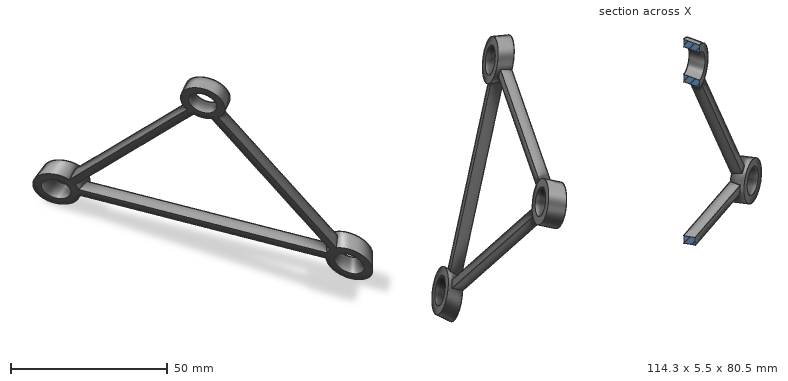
import cadquery as cq
import math

ring_depth = 5.5
bar_depth = 4.0
base_bar_width = 2.9
side_bar_width = 2.6
outer_diameter = 15.0
bore_diameter = 9.5
front_y = -ring_depth / 2

corner_x = 49.3
corner_z = -32.5
top_z = 32.7
ring_centres = [(-corner_x, corner_z), (corner_x, corner_z), (0, top_z)]

apex_distance = 154.5
overshoot = 4.6

bar_corner_x = 47.3
bar_corner_z = -31.2
bar_top_z = 32.0
bar_ends = [(-bar_corner_x, bar_corner_z), (bar_corner_x, bar_corner_z), (0, bar_top_z)]


def leaning_cylinder(centre, diameter):
    """Round bar along a ring axis, extending past both faces."""
    x, z = centre
    axis = cq.Vector(-x, apex_distance, -z).normalized()
    start = cq.Vector(x, front_y, z) - axis * overshoot
    length = ring_depth + 3 * overshoot
    return cq.Workplane(cq.Solid.makeCylinder(diameter / 2, length, start, axis))


def flat_bar(start, end, width):
    """Rectangular bar between two ring centres, flush with the front face."""
    run_x = end[0] - start[0]
    run_z = end[1] - start[1]
    angle = math.degrees(math.atan2(run_z, run_x))
    middle = ((start[0] + end[0]) / 2, front_y + bar_depth / 2, (start[1] + end[1]) / 2)
    bar = cq.Workplane("XY").box(math.hypot(run_x, run_z), bar_depth, width)
    return bar.rotate((0, 0, 0), (0, 1, 0), -angle).translate(middle)


body = flat_bar(bar_ends[0], bar_ends[1], base_bar_width)
body = body.union(flat_bar(bar_ends[1], bar_ends[2], side_bar_width))
body = body.union(flat_bar(bar_ends[2], bar_ends[0], side_bar_width))

slab_size = 228.9
slab = cq.Workplane("XY").box(slab_size, ring_depth, slab_size)
for centre in ring_centres:
    body = body.union(leaning_cylinder(centre, outer_diameter).intersect(slab))

for centre in ring_centres:
    body = body.cut(leaning_cylinder(centre, bore_diameter))

result = body